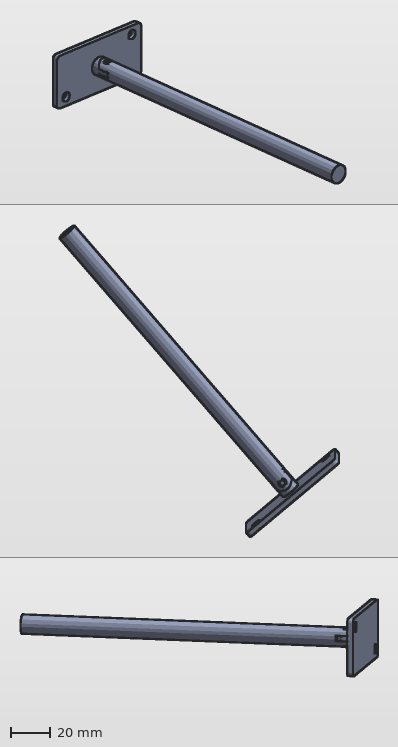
import cadquery as cq

total_length = 180.0
plate_width = 60.0
plate_height = 30.0
plate_thickness = 3.0
corner_radius = 2.3
screw_hole_diameter = 5.0
screw_hole_y = 23.4
screw_hole_z = 9.9
rod_diameter = 10.0
socket_bottom_x = 5.5
tongue_thickness = 2.9
pivot_x = 9.5
pin_diameter = 4.3
ear_radius = 6.0
nose_fillet = 4.0
pin_chamfer = 0.7

rod_radius = rod_diameter / 2
tongue_end_x = 14.5
ear_center_x = socket_bottom_x + ear_radius


def cylinder_along_x(start_x, end_x):
    """Round bar of the rod diameter, centred on the X axis."""
    return cq.Workplane("YZ", origin=(start_x, 0, 0)).circle(rod_radius).extrude(end_x - start_x)


def make_pin():
    """Pivot pin along Z with chamfered ends, as long as the rod is thick."""
    return (
        cq.Workplane("XY", origin=(pivot_x, 0, -rod_radius))
        .circle(pin_diameter / 2)
        .extrude(rod_diameter)
        .faces("<Z or >Z")
        .chamfer(pin_chamfer)
    )


def fork_envelope():
    """Rod blank whose end is rounded about an axis along Z, before the slot is cut."""
    rounded_end = (
        cq.Workplane("XY", origin=(ear_center_x, 0, -rod_radius)).circle(ear_radius).extrude(rod_diameter)
    )
    nose = cylinder_along_x(socket_bottom_x, ear_center_x).intersect(rounded_end)
    return nose.union(cylinder_along_x(ear_center_x, total_length))


def slotted_fork():
    """Rod with the slot for the tongue open across its full width, without the pin hole."""
    slot = cq.Workplane("XY").box(2 * tongue_end_x, rod_diameter, tongue_thickness)
    return fork_envelope().cut(slot)


def make_mount():
    """Wall plate with a round stub, hollowed to seat the fork, and a round-cornered tongue."""
    plate = (
        cq.Workplane("YZ")
        .rect(plate_width, plate_height)
        .extrude(plate_thickness)
        .edges("|X")
        .fillet(corner_radius)
    )
    screw_holes = (
        cq.Workplane("YZ")
        .pushPoints([(screw_hole_y, screw_hole_z), (-screw_hole_y, -screw_hole_z)])
        .circle(screw_hole_diameter / 2)
        .extrude(plate_thickness)
    )
    tongue_outline = (
        cq.Workplane("XY")
        .box(tongue_end_x, rod_diameter, rod_diameter, centered=(False, True, True))
        .edges(">X and |Z")
        .fillet(nose_fillet)
    )
    stub = cylinder_along_x(plate_thickness, tongue_end_x).intersect(tongue_outline).cut(slotted_fork())
    return plate.cut(screw_holes).union(stub).cut(make_pin())


def make_rod():
    """Long rod with a slotted, rounded end that straddles the tongue."""
    return slotted_fork().cut(make_pin())


mount = make_mount()
rod = make_rod()
pin = make_pin()
result = cq.Compound.makeCompound([mount.solids().val(), rod.solids().val(), pin.solids().val()])